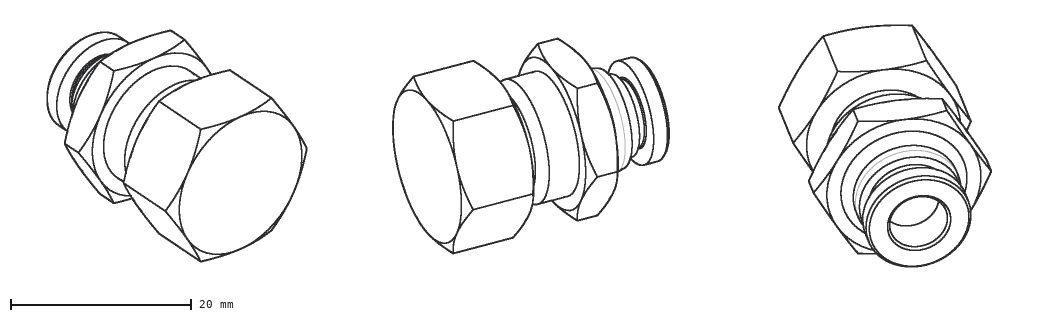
import cadquery as cq
import math

overall_length = 27.0
flange_end = 2.05
ring_start = 3.2
shoulder_start = 4.6
shoulder_taper_end = 5.6
thread_taper_start = 6.6
nut_thickness = 4.0
thread_end = 15.45
hex_start = 18.1

flange_diameter = 11.9
flange_chamfer_length = 0.35
flange_chamfer_depth = 0.3
neck_diameter = 7.9
neck_base_diameter = 8.15
neck_base_length = 0.17
ring_diameter = 9.5
bore_diameter = 6.55
bore_lead_in = 0.3

shoulder_face_diameter = 11.5
shoulder_diameter = 12.0
thread_diameter = 14.29
thread_taper_length = (thread_diameter - shoulder_diameter) / 2
nut_start = thread_taper_start + thread_taper_length
bore_end = hex_start

across_flats = 17.46
hex_sides = 6
across_corners = across_flats / math.cos(math.pi / hex_sides)
hex_chamfer_angle = 30.0


def revolve_about_x(points):
    """Solid of revolution about X from a closed (x, radius) outline."""
    return cq.Workplane("XY").polyline(points).close().revolve(360, (0, 0, 0), (1, 0, 0))


def chamfered_hexagon(start, length):
    """Hexagonal prism along X with its corners turned down to a cone at both ends."""
    prism = (
        cq.Workplane("YZ", origin=(start, 0, 0))
        .polygon(hex_sides, across_corners)
        .extrude(length)
    )
    end = start + length
    face_radius = across_flats / 2
    outer_radius = across_corners
    cone_length = (outer_radius - face_radius) * math.tan(math.radians(hex_chamfer_angle))

    def turned_blank(face_x, inward):
        far_x = face_x + inward * (cone_length + length)
        return revolve_about_x([
            (face_x, 0),
            (face_x, face_radius),
            (face_x + inward * cone_length, outer_radius),
            (far_x, outer_radius),
            (far_x, 0),
        ])

    return prism.intersect(turned_blank(start, 1)).intersect(turned_blank(end, -1))


def make_release_button():
    """Flanged sleeve with a necked groove and an inner ring that rests on the body shoulder."""
    flange_radius = flange_diameter / 2
    neck_radius = neck_diameter / 2
    bore_radius = bore_diameter / 2
    return revolve_about_x([
        (0, bore_radius + bore_lead_in),
        (0, flange_radius - flange_chamfer_depth),
        (flange_chamfer_length, flange_radius),
        (flange_end, flange_radius),
        (flange_end, neck_base_diameter / 2),
        (flange_end + neck_base_length, neck_radius),
        (ring_start, neck_radius),
        (ring_start, ring_diameter / 2),
        (shoulder_start, ring_diameter / 2),
        (shoulder_start, bore_radius),
        (bore_lead_in, bore_radius),
    ])


def make_body():
    """Turned body with a threaded barrel, a hexagonal end and a blind tube bore."""
    shoulder_radius = shoulder_diameter / 2
    thread_radius = thread_diameter / 2
    barrel = revolve_about_x([
        (shoulder_start, 0),
        (shoulder_start, shoulder_face_diameter / 2),
        (shoulder_taper_end, shoulder_radius),
        (thread_taper_start, shoulder_radius),
        (nut_start, thread_radius),
        (thread_end, thread_radius),
        (thread_end + thread_taper_length, shoulder_radius),
        (hex_start, shoulder_radius),
        (hex_start, 0),
    ])
    tube_bore = (
        cq.Workplane("YZ", origin=(shoulder_start, 0, 0))
        .circle(bore_diameter / 2)
        .extrude(bore_end - shoulder_start)
    )
    hexagon = chamfered_hexagon(hex_start, overall_length - hex_start)
    return barrel.union(hexagon).cut(tube_bore)


def make_bulkhead_nut():
    """Hexagonal lock nut around the threaded barrel."""
    hole = (
        cq.Workplane("YZ", origin=(nut_start, 0, 0))
        .circle(thread_diameter / 2)
        .extrude(nut_thickness)
    )
    return chamfered_hexagon(nut_start, nut_thickness).cut(hole)


release_button = make_release_button()
body = make_body()
bulkhead_nut = make_bulkhead_nut()

result = cq.Compound.makeCompound([release_button.val(), body.val(), bulkhead_nut.val()])